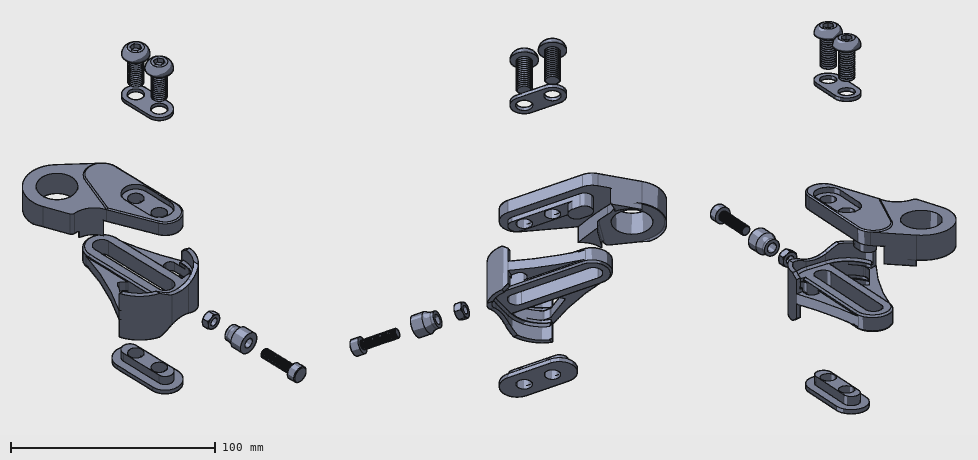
import cadquery as cq
import math

SCREW_XS = (0.2, 16.2)

SCREW_TOP_Z = 142.7
HEAD_RADIUS = 7.0
HEAD_TOP_RADIUS = 4.2
HEAD_HEIGHT = 4.5
HEAD_BULGE = (6.2, 2.8)
HEAD_RIM = 0.6
SHANK_RADIUS = 4.0
SHANK_LENGTH = 18.0
SHANK_PITCH = 1.2
THREAD_DEPTH = 0.6
SOCKET_FLATS = 5.0
SOCKET_DEPTH = 2.6

SHIM_Z = 111.1
SHIM_THICKNESS = 2.0
SHIM_RADIUS = HEAD_RADIUS
SHIM_HOLE_RADIUS = 4.2

RING_X, RING_Y = -31.8, -22.5
RING_RADIUS = 17.0
BORE_RADIUS = 10.2
BASE_TOP_Z = 49.8
BASE_FLOOR_Z = 37.0
FOOT_Z = 32.8
ARM_TOP_Z = 50.5
ARM_UNDER_Z = 42.5
ARM_RADIUS = 8.8
ARM_RIGHT_X = 20.2
ARM_LEFT = (-22.0, -0.6)
ARM_LEFT_RADIUS = ARM_RADIUS - ARM_LEFT[1]
ARM_CHAMFER = 0.8
NECK_TOP = (-1.8, -18.5)
NECK_MIDDLE = (-7.8, -22.2)
NECK_END = (-11.0, -32.8)
NECK_ROUND = 2.0
RECESS_WALL_ANGLE = 21
FOOT_END_Y = -28.2
RECESS_ROUND = 1.0
GUIDE_CLEARANCE = 1.2
POCKET_RADIUS = 7.2
POCKET_DEPTH = 3.0
ARM_HOLE_RADIUS = 4.0
TONGUE_RADIUS = 4.5
TONGUE_DEPTH = 2.8
TONGUE_RIGHT_X = 20.5
DEEP_TONGUE_DEPTH = 7.8
DEEP_TONGUE_XS = (-18.0, -13.6)

PAD_X = -22.2
PAD_RADIUS = 10.0
PAD_HALF = 4.6
PAD_CHAMFER = 1.0
WEB_HALF = 2.8
WEB_START_X = -24.5
WEB_UPPER_MIDDLE = (-4.2, 14.6)
WEB_LOWER_MIDDLE = (-0.8, -18.8)
GUIDE_SLOT_RADIUS = 4.6
GUIDE_SLOT_XS = (-23.0, 20.5)
UPPER_WINDOW_XS, UPPER_WINDOW_TOP, UPPER_WINDOW_ROUND = (7.5, 22.8), 16.8, 3.0
LOWER_WINDOW_LEFT_X = 4.0
LOWER_WINDOW_TIP = (0.8, -13.8)
LOWER_WINDOW_STRUT_X = 15.0
LOWER_WINDOW_ANGLES = (-7, -35, -61)
LOWER_WINDOW_ROUND = 1.0
WALL_X = 32.5
WALL_THICKNESS = 2.5
WALL_HALF_HEIGHT = 13.8
WALL_UPPER_HALF_HEIGHT = 13.2
WALL_UPPER_RADIUS, WALL_UPPER_Y = 17.2, 3.8
WALL_LOWER_RADIUS, WALL_LOWER_Y = 22.0, -7.8
WALL_END_ANGLES = (97, -73)
LEDGE_WIDTH, LEDGE_RISE = 1.2, 1.2
WALL_CORNER = (4.2, 3.2)
VALLEY_Y = -1.5
VALLEY_Z = 8.2
VALLEY_HALF, VALLEY_EDGE_Z = 7.6, 10.0
VALLEY_ENDS = (-15.0, 14.8)
FRAME_WIDTH = 4.0

PLATE_Z = -57.5
FLANGE_THICKNESS = 2.5
PLATE_TONGUE_HEIGHT = 5.0
PLATE_HALF_SPAN = 12.0

ROLLER_AXIS = (-0.5, 0.2)
NUT_X, NUT_LENGTH, NUT_FLATS, NUT_HOLE_RADIUS, NUT_CHAMFER = 49.8, 4.2, 8.0, 2.2, 0.6
SPACER_X, SPACER_LENGTH = 65.7, 12.0
SPACER_NOSE_LENGTH, SPACER_FLARE_END = 1.6, 5.5
SPACER_NOSE_RADIUS, SPACER_RADIUS = 4.5, 5.8
SPACER_HOLE_RADIUS = 2.6
BOLT_TIP_X, BOLT_SHANK_LENGTH, BOLT_RADIUS = 88.3, 20.0, 2.6
BOLT_PITCH, BOLT_THREAD_DEPTH = 0.8, 0.5
BOLT_HEAD_LENGTH, BOLT_HEAD_RADIUS, BOLT_HEAD_CHAMFER = 4.8, 4.5, 0.5


def polar(center, radius, degrees):
    angle = math.radians(degrees)
    return (center[0] + radius * math.cos(angle), center[1] + radius * math.sin(angle))


def stadium(x_start, x_end, radius, z_bottom, z_top):
    """Upright block with two round ends, centred on y = 0."""
    return (
        cq.Workplane("XY", origin=((x_start + x_end) / 2, 0, z_bottom))
        .slot2D(x_end - x_start + 2 * radius, 2 * radius)
        .extrude(z_top - z_bottom)
    )


def disk(center, radius, z_bottom, z_top):
    return cq.Workplane("XY", origin=(*center, z_bottom)).circle(radius).extrude(z_top - z_bottom)


def screw_holes(radius, z_bottom, z_top):
    points = [(x, 0) for x in SCREW_XS]
    plane = cq.Workplane("XY", origin=(0, 0, z_bottom))
    return plane.pushPoints(points).circle(radius).extrude(z_top - z_bottom)


def thread_profile(radius, depth, pitch, length):
    """(radius, height) points of ring-shaped teeth, from the tip at height 0 upwards."""
    points = [(radius - depth, 0)]
    for tooth in range(round(length / pitch)):
        points.append((radius, (tooth + 0.5) * pitch))
        points.append((radius - depth, (tooth + 1) * pitch))
    return points


def tangent_angle(center, radius, point, side):
    """Direction from a circle's centre to where a line from the point touches it."""
    dx, dy = point[0] - center[0], point[1] - center[1]
    return math.degrees(math.atan2(dy, dx) + side * math.acos(radius / math.hypot(dx, dy)))


def make_screw(x):
    """Button-head screw with its tip down, turned about its own axis."""
    shank = thread_profile(SHANK_RADIUS, THREAD_DEPTH, SHANK_PITCH, SHANK_LENGTH)
    screw = (
        cq.Workplane("XZ")
        .polyline([(0, 0), *shank])
        .lineTo(HEAD_RADIUS, SHANK_LENGTH)
        .lineTo(HEAD_RADIUS, SHANK_LENGTH + HEAD_RIM)
        .threePointArc(
            (HEAD_BULGE[0], SHANK_LENGTH + HEAD_BULGE[1]),
            (HEAD_TOP_RADIUS, SHANK_LENGTH + HEAD_HEIGHT),
        )
        .lineTo(0, SHANK_LENGTH + HEAD_HEIGHT)
        .close()
        .revolve(360, (0, 0), (0, 1))
    )
    socket_diameter = SOCKET_FLATS / math.cos(math.pi / 6)
    socket = (
        cq.Workplane("XY", origin=(0, 0, SHANK_LENGTH + HEAD_HEIGHT - SOCKET_DEPTH))
        .transformed(rotate=(0, 0, 30))
        .polygon(6, socket_diameter)
        .extrude(SOCKET_DEPTH)
    )
    return screw.cut(socket).translate((x, 0, SCREW_TOP_Z - HEAD_HEIGHT - SHANK_LENGTH))


def make_shim():
    """Flat two-hole shim that fits the arm's pocket."""
    top = SHIM_Z + SHIM_THICKNESS
    shim = stadium(*SCREW_XS, SHIM_RADIUS, SHIM_Z, top)
    return shim.cut(screw_holes(SHIM_HOLE_RADIUS, SHIM_Z, top))


def wall_arcs(inset):
    """Upper and lower arcs of the bumper wall, inset from its outer face."""
    upper_center = (WALL_X - WALL_UPPER_RADIUS, WALL_UPPER_Y)
    lower_center = (WALL_X - WALL_LOWER_RADIUS, WALL_LOWER_Y)
    upper_angle, lower_angle = WALL_END_ANGLES
    upper = [polar(upper_center, WALL_UPPER_RADIUS - inset, a) for a in (upper_angle, upper_angle / 2, 0)]
    lower = [polar(lower_center, WALL_LOWER_RADIUS - inset, a) for a in (0, lower_angle / 2, lower_angle)]
    return upper, lower


def guide_outline():
    """Closed outline of the whole guide: round end, web edges and bumper wall."""
    upper, lower = wall_arcs(0)
    start_y = math.sqrt(PAD_RADIUS**2 - (WEB_START_X - PAD_X) ** 2)
    return (
        cq.Workplane("XY")
        .moveTo(WEB_START_X, start_y)
        .threePointArc((PAD_X - PAD_RADIUS, 0), (WEB_START_X, -start_y))
        .threePointArc(WEB_LOWER_MIDDLE, lower[2])
        .threePointArc(lower[1], lower[0])
        .lineTo(*upper[2])
        .threePointArc(upper[1], upper[0])
        .threePointArc(WEB_UPPER_MIDDLE, (WEB_START_X, start_y))
        .close()
    )


def base_block(z_bottom, z_top):
    """Ring, its neck and the round left end of the arm."""
    ring, left = (RING_X, RING_Y), ARM_LEFT
    edge_normal = tangent_angle(ring, RING_RADIUS - ARM_LEFT_RADIUS, left, 1)
    bottom_touch = polar(ring, RING_RADIUS, tangent_angle(ring, RING_RADIUS, NECK_END, -1))
    height = z_top - z_bottom
    neck = (
        cq.Workplane("XY", origin=(0, 0, z_bottom))
        .moveTo(*polar(ring, RING_RADIUS, edge_normal))
        .lineTo(*polar(left, ARM_LEFT_RADIUS, edge_normal))
        .lineTo(*left)
        .lineTo(*NECK_TOP)
        .threePointArc(NECK_MIDDLE, NECK_END)
        .lineTo(*bottom_touch)
        .lineTo(*ring)
        .close()
        .extrude(height)
        .edges(cq.selectors.NearestToPointSelector((*NECK_END, (z_bottom + z_top) / 2)))
        .fillet(NECK_ROUND)
    )
    block = neck.union(disk(ring, RING_RADIUS, z_bottom, z_top))
    return block.union(disk(left, ARM_LEFT_RADIUS, z_bottom, z_top))


def arm_block():
    """Tapered arm with its stepped edge chamfered towards the ring."""
    left, right = ARM_LEFT, (ARM_RIGHT_X, 0)
    left_tip = (left[0] - ARM_LEFT_RADIUS, left[1])
    left_touch = polar(left, ARM_LEFT_RADIUS, tangent_angle(left, ARM_LEFT_RADIUS, NECK_TOP, -1))
    right_touch = polar(right, ARM_RADIUS, tangent_angle(right, ARM_RADIUS, NECK_TOP, 1))
    arm = (
        cq.Workplane("XY", origin=(0, 0, ARM_UNDER_Z))
        .moveTo(left[0], ARM_RADIUS)
        .threePointArc(left_tip, left_touch)
        .lineTo(*NECK_TOP)
        .lineTo(*right_touch)
        .threePointArc((ARM_RIGHT_X + ARM_RADIUS, 0), (ARM_RIGHT_X, ARM_RADIUS))
        .close()
        .extrude(ARM_TOP_Z - ARM_UNDER_Z)
    )
    edge_middle = ((left_touch[0] + NECK_TOP[0]) / 2, (left_touch[1] + NECK_TOP[1]) / 2, ARM_TOP_Z)
    top_edges = arm.edges(cq.selectors.NearestToPointSelector(edge_middle)).add(
        arm.edges(cq.selectors.NearestToPointSelector((*left_tip, ARM_TOP_Z)))
    )
    return top_edges.chamfer(ARM_TOP_Z - BASE_TOP_Z, ARM_CHAMFER)


def foot_recess():
    """Space under the ring: its own circle, widened by a flat wall that leaves the circle at a tangent."""
    ring = (RING_X, RING_Y)
    touch = polar(ring, RING_RADIUS, RECESS_WALL_ANGLE)
    wall_run = (touch[1] - FOOT_END_Y) / math.cos(math.radians(RECESS_WALL_ANGLE))
    wall_end = polar(touch, wall_run, RECESS_WALL_ANGLE - 90)
    low_y = RING_Y - RING_RADIUS
    wedge = (
        cq.Workplane("XY", origin=(0, 0, FOOT_Z))
        .polyline([ring, touch, wall_end, (0, FOOT_END_Y), (0, low_y), (RING_X, low_y)])
        .close()
        .extrude(BASE_FLOOR_Z - FOOT_Z)
    )
    recess = wedge.union(disk(ring, RING_RADIUS, FOOT_Z, BASE_FLOOR_Z))
    return recess.faces(">Z").edges().fillet(RECESS_ROUND)


def make_bracket():
    """Ring with feet around the guide, and an arm whose tongue enters the guide's slot."""
    guide_room = (
        guide_outline().offset2D(GUIDE_CLEARANCE).extrude(ARM_UNDER_Z - FOOT_Z).translate((0, 0, FOOT_Z))
    )
    body = base_block(FOOT_Z, BASE_TOP_Z).cut(foot_recess()).cut(guide_room)
    body = body.union(arm_block())
    body = body.union(
        stadium(DEEP_TONGUE_XS[0], TONGUE_RIGHT_X, TONGUE_RADIUS, ARM_UNDER_Z - TONGUE_DEPTH, ARM_UNDER_Z)
    )
    body = body.union(
        stadium(*DEEP_TONGUE_XS, TONGUE_RADIUS, ARM_UNDER_Z - DEEP_TONGUE_DEPTH, ARM_UNDER_Z)
    )
    body = body.cut(disk((RING_X, RING_Y), BORE_RADIUS, FOOT_Z, ARM_TOP_Z))
    body = body.cut(stadium(*SCREW_XS, POCKET_RADIUS, ARM_TOP_Z - POCKET_DEPTH, ARM_TOP_Z))
    return body.cut(screw_holes(ARM_HOLE_RADIUS, FOOT_Z, ARM_TOP_Z))


def wall_band(width, half_height):
    """Band of the given width that follows the wall's outer face."""
    outer_upper, outer_lower = wall_arcs(0)
    inner_upper, inner_lower = wall_arcs(width)
    return (
        cq.Workplane("XY")
        .moveTo(*outer_upper[0])
        .threePointArc(outer_upper[1], outer_upper[2])
        .lineTo(*outer_lower[0])
        .threePointArc(outer_lower[1], outer_lower[2])
        .lineTo(*inner_lower[2])
        .threePointArc(inner_lower[1], inner_lower[0])
        .lineTo(*inner_upper[2])
        .threePointArc(inner_upper[1], inner_upper[0])
        .close()
        .extrude(half_height, both=True)
    )


def bumper_wall():
    """Tall curved wall with a valley across its middle on both long edges."""
    band = wall_band(WALL_THICKNESS, WALL_HALF_HEIGHT)
    valley = (
        cq.Workplane("YZ")
        .moveTo(VALLEY_ENDS[0], WALL_HALF_HEIGHT)
        .lineTo(VALLEY_Y - VALLEY_HALF, VALLEY_EDGE_Z)
        .threePointArc((VALLEY_Y, VALLEY_Z), (VALLEY_Y + VALLEY_HALF, VALLEY_EDGE_Z))
        .lineTo(VALLEY_ENDS[1], WALL_UPPER_HALF_HEIGHT)
        .lineTo(WALL_X, WALL_UPPER_HALF_HEIGHT)
        .lineTo(WALL_X, WALL_HALF_HEIGHT)
        .close()
        .extrude(WALL_X)
    )
    end_x = wall_arcs(0)[0][0][0]
    corner = (
        cq.Workplane("XZ", origin=(0, WALL_X, 0))
        .polyline([
            (end_x, WALL_HALF_HEIGHT),
            (end_x + WALL_CORNER[0], WALL_HALF_HEIGHT),
            (end_x, WALL_HALF_HEIGHT - WALL_CORNER[1]),
        ])
        .close()
        .extrude(2 * WALL_X)
    )
    for cutter in (valley, corner):
        band = band.cut(cutter).cut(cutter.mirror("XY"))
    return band


def make_guide():
    """Thin web with a thick slotted pad, two windows and the bumper wall."""
    web = guide_outline().extrude(WEB_HALF, both=True)
    pad = stadium(PAD_X, WALL_X, PAD_RADIUS, -PAD_HALF, PAD_HALF).faces("<Z or >Z").chamfer(PAD_CHAMFER)
    inside = guide_outline().extrude(PAD_HALF, both=True)
    shoulder = (
        cq.Workplane("XY")
        .center((UPPER_WINDOW_XS[1] + WALL_X) / 2, UPPER_WINDOW_TOP / 2)
        .rect(WALL_X - UPPER_WINDOW_XS[1], UPPER_WINDOW_TOP)
        .extrude(PAD_HALF, both=True)
        .intersect(inside)
    )
    frame = wall_band(FRAME_WIDTH, PAD_HALF)
    ledge_top = PAD_HALF + LEDGE_RISE
    ledge = wall_band(WALL_THICKNESS + LEDGE_WIDTH, ledge_top)
    ledge = ledge.faces("<Z or >Z").chamfer(LEDGE_RISE, LEDGE_WIDTH)
    guide = web.union(pad.intersect(inside))
    for thick_part in (shoulder, frame, ledge, bumper_wall()):
        guide = guide.union(thick_part)
    slot = stadium(*GUIDE_SLOT_XS, GUIDE_SLOT_RADIUS, -PAD_HALF, PAD_HALF)
    return guide.cut(slot).cut(upper_window()).cut(lower_window())


def upper_window():
    """Rounded window between the pad and the wall's upper arc."""
    left, right = UPPER_WINDOW_XS
    return (
        cq.Workplane("XY")
        .center((left + right) / 2, (PAD_RADIUS + UPPER_WINDOW_TOP) / 2)
        .rect(right - left, UPPER_WINDOW_TOP - PAD_RADIUS)
        .extrude(PAD_HALF, both=True)
        .edges("|Z")
        .fillet(UPPER_WINDOW_ROUND)
    )


def lower_window():
    """Window bounded by the pad, the lower strut and the rim along the wall."""
    center = (WALL_X - WALL_LOWER_RADIUS, WALL_LOWER_Y)
    start, middle, end = (polar(center, WALL_LOWER_RADIUS - FRAME_WIDTH, a) for a in LOWER_WINDOW_ANGLES)
    return (
        cq.Workplane("XY")
        .moveTo(LOWER_WINDOW_LEFT_X, -PAD_RADIUS)
        .lineTo(start[0], -PAD_RADIUS)
        .threePointArc(middle, end)
        .lineTo(LOWER_WINDOW_STRUT_X, end[1])
        .lineTo(*LOWER_WINDOW_TIP)
        .close()
        .extrude(PAD_HALF, both=True)
        .edges("|Z")
        .fillet(LOWER_WINDOW_ROUND)
    )


def make_plate():
    """Flanged plate whose tongue enters the guide's slot from below."""
    middle = sum(SCREW_XS) / 2
    ends = (middle - PLATE_HALF_SPAN, middle + PLATE_HALF_SPAN)
    flange_top = PLATE_Z + FLANGE_THICKNESS
    top = flange_top + PLATE_TONGUE_HEIGHT
    plate = stadium(*ends, ARM_RADIUS, PLATE_Z, flange_top)
    plate = plate.union(stadium(*ends, TONGUE_RADIUS, flange_top, top))
    return plate.cut(screw_holes(ARM_HOLE_RADIUS, PLATE_Z, top))


def make_nut():
    """Hexagon nut with corners towards +Z and -Z, bevelled at both ends."""
    corner_radius = NUT_FLATS / 2 / math.cos(math.pi / 6)
    bevel = (
        cq.Workplane("YZ", origin=(NUT_X, *ROLLER_AXIS))
        .circle(corner_radius)
        .extrude(NUT_LENGTH)
        .edges()
        .chamfer(NUT_CHAMFER)
    )
    return (
        cq.Workplane("YZ", origin=(NUT_X, *ROLLER_AXIS))
        .transformed(rotate=(0, 0, 90))
        .polygon(6, 2 * corner_radius)
        .circle(NUT_HOLE_RADIUS)
        .extrude(NUT_LENGTH)
        .intersect(bevel)
    )


def make_spacer():
    """Sleeve whose nose flares smoothly towards the thick end."""
    return (
        cq.Workplane("XY", origin=(SPACER_X, *ROLLER_AXIS))
        .moveTo(0, SPACER_HOLE_RADIUS)
        .lineTo(0, SPACER_NOSE_RADIUS)
        .lineTo(SPACER_NOSE_LENGTH, SPACER_NOSE_RADIUS)
        .tangentArcPoint((SPACER_FLARE_END, SPACER_RADIUS), relative=False)
        .lineTo(SPACER_LENGTH, SPACER_RADIUS)
        .lineTo(SPACER_LENGTH, SPACER_HOLE_RADIUS)
        .close()
        .revolve(360, (0, 0), (1, 0))
    )


def make_bolt():
    """Cap screw pointing towards -X."""
    shank = thread_profile(BOLT_RADIUS, BOLT_THREAD_DEPTH, BOLT_PITCH, BOLT_SHANK_LENGTH)
    points = [(0, 0)] + [(along, radius) for radius, along in shank]
    end = BOLT_SHANK_LENGTH + BOLT_HEAD_LENGTH
    points += [
        (BOLT_SHANK_LENGTH, BOLT_HEAD_RADIUS),
        (end - BOLT_HEAD_CHAMFER, BOLT_HEAD_RADIUS),
        (end, BOLT_HEAD_RADIUS - BOLT_HEAD_CHAMFER),
        (end, 0),
    ]
    profile = cq.Workplane("XY", origin=(BOLT_TIP_X, *ROLLER_AXIS)).polyline(points).close()
    return profile.revolve(360, (0, 0), (1, 0))


screws = [make_screw(x) for x in SCREW_XS]
shim = make_shim()
bracket = make_bracket()
guide = make_guide()
plate = make_plate()
nut = make_nut()
spacer = make_spacer()
bolt = make_bolt()

bodies = [*screws, shim, bracket, guide, plate, nut, spacer, bolt]
result = cq.Compound.makeCompound([body.solids().val() for body in bodies])